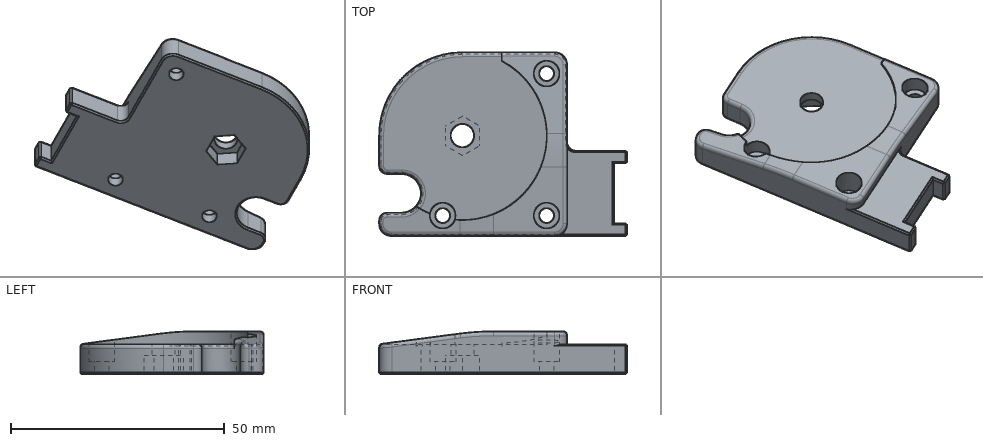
import cadquery as cq
import math

overall_length = 58.0
body_length = 44.0
width = 43.0
height = 10.0
low_height = 7.0

body_round_radius = 19.5
corner_radius = 3.0
top_fillet = 1.0
bottom_chamfer = 0.4

ramp_run = 22.8
ramp_blend_radius = 60.0

recess_radius = 19.75
recess_open_x = 9.2

slot_radius = 4.5
slot_depth = 9.8
slot_above_base = 10.0
slot_mouth_radius = 2.0

tail_width = 20.0
tail_corner_radius = 2.0
tail_chamfer = 0.4
notch_width = 14.0
notch_depth = 3.0
notch_offset = 3.0

centre_hole_diameter = 5.4
nut_across_flats = 8.0
nut_pocket_depth = 4.4
hexagon_sides = 6

screw_diameter = 3.4
screw_head_diameter = 6.0
screw_seat_height = 3.0
screw_positions = [(19.7, 14.5), (19.7, -18.7), (-4.6, -18.7)]

x_min = -body_round_radius
x_body = x_min + body_length
x_max = x_min + overall_length
y_max = body_round_radius
y_min = y_max - width
y_slot = y_min + slot_above_base
y_tail = y_min + tail_width
x_slot = x_min + slot_depth - slot_radius


def box(x0, x1, y0, y1, z0, z1):
    """Axis-aligned box between the given limits."""
    return cq.Workplane("XY").box(x1 - x0, y1 - y0, z1 - z0, centered=False).translate((x0, y0, z0))


def arc_shift(radius):
    """Distance of a quarter arc's midpoint from each of the two sides it joins."""
    return radius * (1 - math.sqrt(0.5))


def body_blank():
    """Prism of the body's plan outline, with its round corners and side slot."""
    big = arc_shift(body_round_radius)
    small = arc_shift(corner_radius)
    mouth = arc_shift(slot_mouth_radius)
    y_slot_top = y_slot + slot_radius
    y_slot_bottom = y_slot - slot_radius
    return (
        cq.Workplane("XY")
        .moveTo(x_min + corner_radius, y_min)
        .lineTo(x_body - corner_radius, y_min)
        .threePointArc((x_body - small, y_min + small), (x_body, y_min + corner_radius))
        .lineTo(x_body, y_max - corner_radius)
        .threePointArc((x_body - small, y_max - small), (x_body - corner_radius, y_max))
        .lineTo(0, y_max)
        .threePointArc((x_min + big, y_max - big), (x_min, 0))
        .lineTo(x_min, y_slot_top + slot_mouth_radius)
        .threePointArc((x_min + mouth, y_slot_top + mouth), (x_min + slot_mouth_radius, y_slot_top))
        .lineTo(x_slot, y_slot_top)
        .threePointArc((x_slot + slot_radius, y_slot), (x_slot, y_slot_bottom))
        .lineTo(x_min + slot_mouth_radius, y_slot_bottom)
        .threePointArc((x_min + mouth, y_slot_bottom - mouth), (x_min, y_slot_bottom - slot_mouth_radius))
        .lineTo(x_min, y_min + corner_radius)
        .threePointArc((x_min + small, y_min + small), (x_min + corner_radius, y_min))
        .close()
        .extrude(height)
    )


def ramp_profile(plane, start, direction, extrusion):
    """Solid under a ramp that climbs along `direction` (+1 or -1) from `start`, then runs flat."""
    angle = math.atan2(height - low_height, ramp_run)
    half_angle = angle / 2
    tangent = ramp_blend_radius * math.tan(half_angle)

    def point(run, z):
        return (start + direction * run, z)

    flat_start = ramp_run + tangent
    ramp_end = ramp_run - tangent * math.cos(angle)
    blend_mid = flat_start - ramp_blend_radius * math.sin(half_angle)
    return (
        cq.Workplane(plane)
        .moveTo(*point(0, 0))
        .lineTo(*point(0, low_height))
        .lineTo(*point(ramp_end, height - tangent * math.sin(angle)))
        .threePointArc(
            point(blend_mid, height - ramp_blend_radius * (1 - math.cos(half_angle))),
            point(flat_start, height),
        )
        .lineTo(*point(overall_length, height))
        .lineTo(*point(overall_length, 0))
        .close()
        .extrude(extrusion, both=True)
    )


def fillet_top_rim(solid):
    """Round every edge between the upper faces and the side walls."""
    return solid.faces("#Z").edges("not(|Z or <Z)").fillet(top_fillet)


def body():
    """Body whose top rim follows two ramps, with a flat round recess let into it."""
    blank = body_blank()
    rising_in_x = fillet_top_rim(blank.intersect(ramp_profile("XZ", x_min, 1, overall_length)))
    rising_in_y = fillet_top_rim(blank.intersect(ramp_profile("YZ", y_max, -1, overall_length)))
    recess = cq.Workplane("XY").circle(recess_radius).extrude(height)
    rim_opening = box(x_min, recess_open_x, 0, y_max, 0, height)
    slot_side = box(x_min, x_slot, y_slot, 0, 0, height)
    recess_region = recess.union(rim_opening).union(slot_side)
    recess_floor = fillet_top_rim(blank.intersect(box(x_min, x_body, y_min, y_max, 0, low_height)))
    rim = rising_in_x.intersect(rising_in_y).cut(recess_region)
    return rim.union(recess_floor.intersect(recess_region))


def tail():
    """Flat tongue on the +X side, notched at its end, with chamfered top and end edges."""
    x_root = x_body - corner_radius
    x_notch = x_max - notch_depth
    y_notch_bottom = y_min + notch_offset
    y_notch_top = y_notch_bottom + notch_width
    x_arc_end = x_body + tail_corner_radius
    y_arc_end = y_tail + tail_corner_radius
    shift = arc_shift(tail_corner_radius)
    return (
        cq.Workplane("XY")
        .moveTo(x_root, y_min)
        .lineTo(x_max, y_min)
        .lineTo(x_max, y_notch_bottom)
        .lineTo(x_notch, y_notch_bottom)
        .lineTo(x_notch, y_notch_top)
        .lineTo(x_max, y_notch_top)
        .lineTo(x_max, y_tail)
        .lineTo(x_arc_end, y_tail)
        .threePointArc((x_body + shift, y_tail + shift), (x_body, y_arc_end))
        .lineTo(x_root, y_arc_end)
        .close()
        .extrude(low_height)
        .edges(">Z or (>X and |Z)")
        .chamfer(tail_chamfer)
    )


def cut_centre_hole(part):
    """Through hole on the recess axis with a hexagonal nut pocket underneath, two flats facing +X and -X."""
    hole = cq.Workplane("XY").circle(centre_hole_diameter / 2).extrude(height)
    hexagon_turn = 180 / hexagon_sides
    corner_diameter = nut_across_flats / math.cos(math.pi / hexagon_sides)
    nut_pocket = (
        cq.Workplane("XY")
        .transformed(rotate=(0, 0, hexagon_turn))
        .polygon(hexagon_sides, corner_diameter)
        .extrude(nut_pocket_depth)
    )
    return part.cut(hole).cut(nut_pocket)


def cut_screw_holes(part):
    """Through holes for screws whose heads sink in from above."""
    holes = cq.Workplane("XY").pushPoints(screw_positions).circle(screw_diameter / 2).extrude(height)
    seats = (
        cq.Workplane("XY")
        .workplane(offset=screw_seat_height)
        .pushPoints(screw_positions)
        .circle(screw_head_diameter / 2)
        .extrude(height)
    )
    return part.cut(holes).cut(seats)


part = body().union(tail())
part = part.faces("<Z").chamfer(bottom_chamfer)
part = cut_centre_hole(part)
result = cut_screw_holes(part)